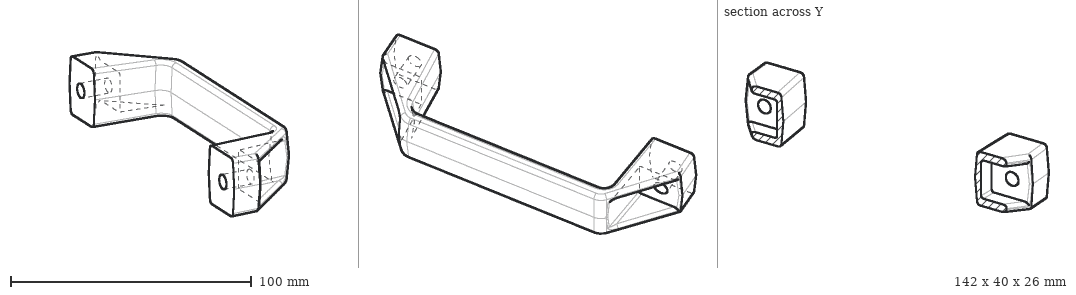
import cadquery as cq
import math

length = 142.0
height = 40.0
foot_width = 26.0

grip_thickness = 8.1
leg_side_height = 12.4
slope_angle = 48.9
foot_inner_x = 49.0
leg_lean = 5.0
outer_bend_radius = 6.4
inner_bend_radius = 5.3

side_draft = 5.0
width_draft = 1.0
edge_radius = 2.0

hole_x = 61.2
hole_diameter = 6.2
pocket_floor_y = 13.0
pocket_inner_x = 51.1
pocket_width = 17.6
pocket_corner_radius = 1.1
pocket_rim_radius = 1.4

overrun = 7.1

half_length = length / 2
half_width = foot_width / 2
grip_underside = height - grip_thickness
draft_depth = half_width + overrun
width_slope = math.tan(math.radians(width_draft))
lean_slope = math.tan(math.radians(leg_lean))
rim_search_depth = 1.8
tolerance = 0.01


def slope_x(y):
    """Distance of the outer slope from the middle at height y."""
    return half_length - (y - leg_side_height) / math.tan(math.radians(slope_angle))


def leg_inner_x(y):
    """Distance of the leg's inner side from the middle at height y."""
    return foot_inner_x - y * lean_slope


def mirrored_outline(right_side):
    """Close a chain of right-hand points with its mirror image in the YZ plane."""
    return right_side + [(-x, y) for x, y in reversed(right_side)]


def round_bends(solid, radius):
    """Round both ends of the face farthest from the mounting face."""
    return solid.faces(">Y").edges("not |X").fillet(radius)


def outer_half():
    """Upper half of the filled-in handle, narrowing away from the parting plane."""
    outline = mirrored_outline(
        [(slope_x(height), height), (half_length, leg_side_height), (half_length, -overrun)]
    )
    half = cq.Workplane("XY").polyline(outline).close().extrude(draft_depth, taper=side_draft)
    return round_bends(half, outer_bend_radius)


def opening_half():
    """Upper half of the hand opening, widening away from the parting plane."""
    outline = mirrored_outline(
        [(leg_inner_x(grip_underside), grip_underside), (leg_inner_x(-2 * overrun), -2 * overrun)]
    )
    widening = draft_depth * math.tan(math.radians(side_draft))
    half = (
        cq.Workplane("XY", origin=(0, 0, draft_depth))
        .polyline(outline)
        .close()
        .offset2D(widening, "intersection")
        .extrude(-draft_depth, taper=side_draft)
    )
    return round_bends(half, inner_bend_radius)


def drafted_bracket():
    """Bracket running past the mounting face, with its full section at the parting plane."""
    upper = outer_half().cut(opening_half())
    return upper.union(upper.mirror("XY"))


def width_envelope():
    """Wedge that narrows along Z with distance from the mounting face."""
    near_half_width = half_width + overrun * width_slope
    far_half_width = half_width - (height + overrun) * width_slope
    return (
        cq.Workplane("YZ")
        .moveTo(-overrun, -near_half_width)
        .lineTo(-overrun, near_half_width)
        .lineTo(height + overrun, far_half_width)
        .lineTo(height + overrun, -far_half_width)
        .close()
        .extrude(half_length + overrun, both=True)
    )


def bracket():
    """Solid bracket with rounded edges, trimmed flat at the mounting face."""
    body = drafted_bracket().intersect(width_envelope())
    body = body.faces(">Z or <Z").edges().fillet(edge_radius)
    below_foot = cq.Workplane("XY").box(
        length + 2 * overrun, 2 * overrun, foot_width + 2 * overrun, centered=(True, False, True)
    )
    return body.cut(below_foot.translate((0, -2 * overrun, 0)))


def right_leg_pocket():
    """Pocket in the outer slope, its inner wall parallel to the inner side of the leg."""
    top = height + overrun
    outside = half_length + overrun
    wall_top_x = pocket_inner_x - (top - pocket_floor_y) * lean_slope
    return (
        cq.Workplane("XY")
        .moveTo(pocket_inner_x, pocket_floor_y)
        .lineTo(outside, pocket_floor_y)
        .lineTo(outside, top)
        .lineTo(wall_top_x, top)
        .close()
        .extrude(pocket_width / 2, both=True)
        .faces("<X")
        .edges("not |Z")
        .fillet(pocket_corner_radius)
    )


def right_leg_hole():
    """Screw hole along Y, from the mounting face into the pocket."""
    return cq.Workplane("XZ").center(hole_x, 0).circle(hole_diameter / 2).extrude(-height)


def round_pocket_rim(body, pocket):
    """Round the edges where the pocket opens through the outer slope."""
    pocket_solid = pocket.val()

    def is_rim(edge):
        middle = edge.Center()
        depth = slope_x(middle.y) - middle.x
        on_slope = -tolerance < depth < rim_search_depth
        on_pocket = cq.Vertex.makeVertex(*middle.toTuple()).distance(pocket_solid) < tolerance
        return on_slope and on_pocket

    rim = [edge for edge in body.edges().vals() if is_rim(edge)]
    return body.newObject(rim).fillet(pocket_rim_radius)


def right_half():
    """Half of the handle on the +X side, with its pocket and screw hole."""
    half_space = cq.Workplane("XY").box(
        length, 2 * length, length, centered=(False, True, True)
    )
    pocket = right_leg_pocket()
    body = bracket().intersect(half_space).cut(pocket)
    body = round_pocket_rim(body, pocket)
    return body.cut(right_leg_hole())


half = right_half()
result = half.union(half.mirror("YZ"))